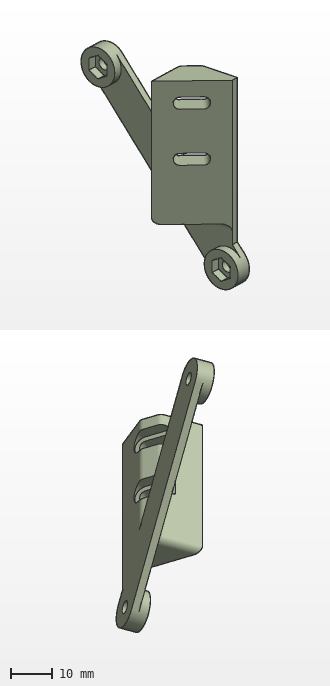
import cadquery as cq
import math

rise_x = 37.95
rise_z = 43.0
boss_diameter = 10.4
boss_depth = 4.5
plate_depth = 2.0
bolt_hole_diameter = 3.2
nut_flats = 5.5
nut_depth = 2.5

block_left = -13.5
block_width = 15.0
block_bottom = 11.75
total_height = 55.45
total_depth = 14.6
round_radius = 2.0
block_thickness = 8.5

slot_spacing = 15.0
slot_end_margin = 6.0
slot_length = 9.0
head_diameter = 5.8
seat_depth = 5.5

boss_radius = boss_diameter / 2
block_right = block_left + block_width
block_top = total_height - boss_radius
slope_angle = math.atan2(total_depth - plate_depth, block_width)
arm_length = math.hypot(rise_x, rise_z)
arm_angle = math.degrees(math.atan2(rise_z, -rise_x))
boss_centres = [(0, 0), (-rise_x, rise_z)]


def front_plane(depth=0):
    """Sketch plane facing -Y at the given depth, with local x = X and local y = Z."""
    return cq.Workplane("XZ", origin=(0, -depth, 0))


def arm_edge_height(x):
    """Height of the arm's upper straight edge at a given X."""
    return (boss_radius * arm_length - rise_z * x) / rise_x


def arm_edge_x(z):
    """X of the arm's upper straight edge at a given height."""
    return (boss_radius * arm_length - rise_x * z) / rise_z


def arm_and_gusset(depth):
    """Arm with the small web that joins it to the underside of the block."""
    arm = (
        front_plane()
        .center(-rise_x / 2, rise_z / 2)
        .transformed(rotate=(0, 0, arm_angle))
        .rect(arm_length, boss_diameter)
        .extrude(depth)
    )
    gusset = (
        front_plane()
        .moveTo(block_right, arm_edge_height(block_right))
        .lineTo(block_right, block_bottom)
        .lineTo(arm_edge_x(block_bottom), block_bottom)
        .lineTo(0, 0)
        .close()
        .extrude(depth)
    )
    return arm.union(gusset)


def rounded_column(right, top):
    """Full-depth column with its lower left corner rounded."""
    return (
        front_plane()
        .moveTo(block_left, top)
        .lineTo(block_left, block_bottom + round_radius)
        .radiusArc((block_left + round_radius, block_bottom), -round_radius)
        .lineTo(right, block_bottom)
        .lineTo(right, top)
        .close()
        .extrude(total_depth)
    )


def wedge_block():
    """Upright block: slanted front face and a parallel rounded cut at the back left."""
    cut_start_y = block_thickness / math.cos(slope_angle) - total_depth
    cut_end_x = block_left - cut_start_y / math.tan(slope_angle)
    profile = (
        cq.Workplane("XY")
        .polyline([
            (block_left, -total_depth),
            (block_right, -plate_depth),
            (block_right, 0),
            (cut_end_x, 0),
            (block_left, cut_start_y),
        ])
        .close()
        .extrude(block_top)
    )
    for corner in [(cut_end_x, 0, block_top / 2), (block_left, cut_start_y, block_top / 2)]:
        profile = profile.edges(cq.NearestToPointSelector(corner)).fillet(round_radius)
    return profile.intersect(rounded_column(block_right, block_top))


def block_root():
    """Part of the block standing on the arm, with the concave fillet around its foot."""
    column = rounded_column(total_height, total_height)
    slab = front_plane().rect(4 * total_height, 2 * total_height).extrude(plate_depth)
    foot_edges = cq.selectors.BoxSelector(
        (block_left - 0.55, -plate_depth - 0.05, block_bottom - 0.55),
        (total_height + 0.55, -plate_depth + 0.05, total_height + 0.55),
        boundingbox=False,
    )
    filleted = slab.union(column).edges(foot_edges).fillet(round_radius)
    slope = math.tan(slope_angle)
    reach = 2 * round_radius
    front_limit = (
        cq.Workplane("XY")
        .polyline([
            (block_left - reach, 0),
            (block_left - reach, -total_depth - reach * slope),
            (block_right, -plate_depth),
            (block_right, 0),
        ])
        .close()
        .extrude(block_top)
    )
    return filleted.intersect(front_limit).intersect(arm_and_gusset(total_depth))


def mounting_slots():
    """Screw slots square to the slanted face, widened behind it for the screw heads."""
    face_centre_x = (block_left + block_right) / 2
    face_centre_y = -(total_depth + plate_depth) / 2
    inward = (-math.sin(slope_angle), math.cos(slope_angle), 0)
    along = (math.cos(slope_angle), math.sin(slope_angle), 0)
    centre_distance = slot_length - bolt_hole_diameter
    cutters = cq.Workplane("XY")
    for row in range(2):
        height = block_top - slot_end_margin - row * slot_spacing
        face = cq.Workplane(cq.Plane((face_centre_x, face_centre_y, height), along, inward))
        slot = face.slot2D(slot_length, bolt_hole_diameter).extrude(seat_depth)
        head = (
            face.workplane(offset=seat_depth)
            .slot2D(centre_distance + head_diameter, head_diameter)
            .extrude(total_depth)
        )
        cutters = cutters.union(slot).union(head)
    return cutters


def bosses():
    return front_plane().pushPoints(boss_centres).circle(boss_radius).extrude(boss_depth)


def boss_cutters():
    """Through holes with hexagonal nut pockets sunk from the front."""
    holes = front_plane().pushPoints(boss_centres).circle(bolt_hole_diameter / 2).extrude(boss_depth)
    nut_corners = nut_flats / math.cos(math.pi / 6)
    pocket = (
        front_plane(boss_depth - nut_depth)
        .polygon(6, nut_corners)
        .extrude(nut_depth)
        .rotate((0, 0, 0), (0, 1, 0), 30)
    )
    for x, z in boss_centres:
        holes = holes.union(pocket.translate((x, 0, z)))
    return holes


block = wedge_block().cut(mounting_slots())
body = block.union(block_root()).union(arm_and_gusset(plate_depth)).union(bosses())
result = body.cut(boss_cutters())